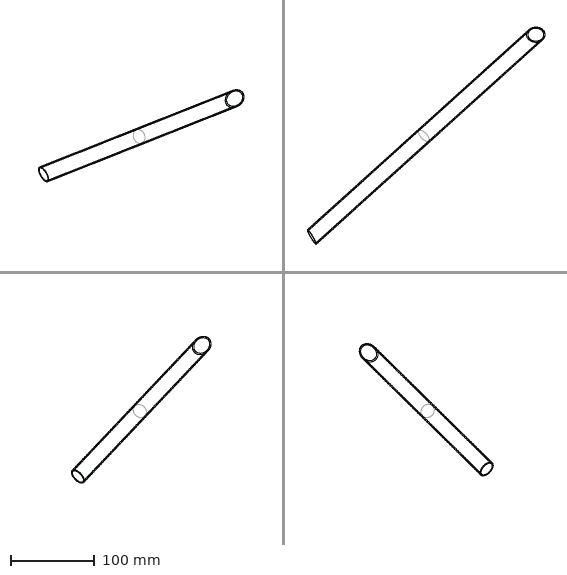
import cadquery as cq
import math

outer_diameter = 20.0
wall_thickness = 1.5
axis_length = 400.0
overall_length = 413.41
mitre_direction = 45.0

outer_radius = outer_diameter / 2
inner_radius = outer_radius - wall_thickness

tip_reach = (overall_length - axis_length) / 2
mitre_slope = tip_reach / outer_radius
mitre_slope_x = mitre_slope * math.cos(math.radians(mitre_direction))
mitre_slope_z = mitre_slope * math.sin(math.radians(mitre_direction))


def make_tube():
    """Square-ended tube centred on the origin, as long as the finished part."""
    return (
        cq.Workplane("XZ")
        .circle(outer_radius)
        .circle(inner_radius)
        .extrude(overall_length / 2, both=True)
    )


def mitre_waste(end):
    """Block beyond the mitre plane at one end; end is +1 for +Y and -1 for -Y."""
    mitre_plane = cq.Plane(
        origin=(0, end * axis_length / 2, 0),
        xDir=(1, end * mitre_slope_x, 0),
        normal=(-mitre_slope_x, end, -mitre_slope_z),
    )
    block_side = 4 * outer_diameter
    return cq.Workplane(mitre_plane).rect(block_side, block_side).extrude(block_side)


result = make_tube()
for end in (1, -1):
    result = result.cut(mitre_waste(end))